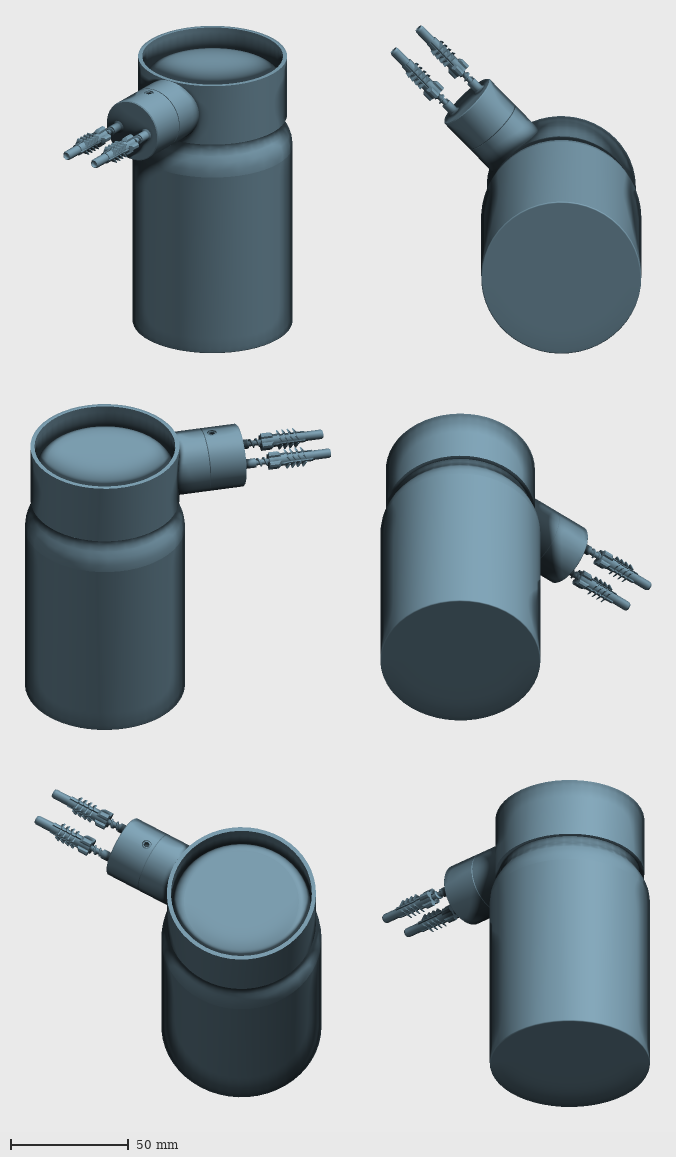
import cadquery as cq
import math

BOTTLE_DIA = 68.0
NECK_DIA = 59.0
BODY_HEIGHT = 81.7
SHOULDER_TURN_DIA = 62.3
SHOULDER_TURN_Z = 90.5
BASE_FILLET = 0.5
TOP_FILLET = 5.1
TOP_RECESS = 7.6

TOTAL_HEIGHT = 123.1
RING_DIA = 63.3
RING_BORE = 59.8
STUB_DIA = 26.9
RING_MARGIN = 0.1
RING_HEIGHT = STUB_DIA + 2 * RING_MARGIN
RING_BOTTOM = TOTAL_HEIGHT - RING_HEIGHT
BOTTLE_TOP = TOTAL_HEIGHT - TOP_RECESS
ARM_Z = TOTAL_HEIGHT - RING_HEIGHT / 2
STUB_END = 42.8

FLANGE_END = 58.8
FLANGE_CHAMFER = 0.4
SET_SCREW_DIA = 4.0
SET_SCREW_LENGTH = 5.2
SET_SCREW_RECESS = 0.3
SET_SCREW_TOP = ARM_Z + STUB_DIA / 2 - SET_SCREW_RECESS
SET_SCREW_PLACE = 46.6
SOCKET_WIDTH = 2.4
SOCKET_DEPTH = 2.0
SET_SCREW_CHAMFER = 0.5

OUTER_LENGTH = 130.5
SCREW_SPACING = 14.5
SCREW_PLACES = [-SCREW_SPACING / 2, SCREW_SPACING / 2]
HEAD_DIA = 5.5
HEAD_DEPTH = 3.9
HEAD_CONE = 0.7
SHANK_DIA = 4.0
SHANK_END = 64.0
CORE_DIA = 2.4
THREAD_DIA = 3.9
THREAD_PITCH = 2.6
THREAD_WIDTH = 1.2
THREAD_CREST = 0.4
THREAD_SINK = 0.1
SCREW_POINT = 1.0
SCREW_POINT_DIA = 0.3
SCREW_END = 94.0

PLUG_START = 69.6
WING_END = 74.7
COLLAR_DIA = 5.5
WING_DIA = 8.2
WING_WIDTH = 2.5
WING_COUNT = 4
WING_END_CHAMFER = 1.3
WING_ROOF_CHAMFER = 0.7
SLEEVE_START = 77.3
SLEEVE_DIA = 4.8
SLEEVE_END = 88.7
TIP_DIA = 4.0
TIP_CHAMFER = 0.4
TIP_CHAMFER_LENGTH = 0.8
PLUG_BORE = 3.0
PLUG_END = OUTER_LENGTH - BOTTLE_DIA / 2
SLOT_WIDTH = 0.7
BARB_COUNT = 4
BARB_PITCH = 2.4
BARB_SPAN = 6.0
BARB_ROOT = 0.9
BARB_RUN = 1.5
BARB_THICKNESS = 0.5


def rod(dia, start, end, x=0.0):
    """Cylinder along -Y on the arm axis, between two distances from the bottle axis."""
    plane = cq.Plane(origin=(x, -start, ARM_Z), xDir=(1, 0, 0), normal=(0, -1, 0))
    return cq.Workplane(plane).circle(dia / 2).extrude(end - start)


def block(width, height, start, end):
    """Box centred on the arm axis, between two distances from the bottle axis."""
    return cq.Workplane("XY").box(width, end - start, height).translate((0, -(start + end) / 2, ARM_Z))


def make_bottle():
    shoulder_rise = SHOULDER_TURN_Z - BODY_HEIGHT
    shoulder_run = (BOTTLE_DIA - SHOULDER_TURN_DIA) / 2
    turn_angle = 2 * math.atan2(shoulder_run, shoulder_rise)
    turn_tangent = (-math.sin(turn_angle), math.cos(turn_angle))
    return (
        cq.Workplane("XZ")
        .lineTo(BOTTLE_DIA / 2, 0)
        .lineTo(BOTTLE_DIA / 2, BODY_HEIGHT)
        .tangentArcPoint((SHOULDER_TURN_DIA / 2, SHOULDER_TURN_Z), relative=False)
        .spline(
            [(NECK_DIA / 2, RING_BOTTOM)],
            tangents=[turn_tangent, (0, 1)],
            includeCurrent=True,
        )
        .lineTo(NECK_DIA / 2, BOTTLE_TOP)
        .lineTo(0, BOTTLE_TOP)
        .close()
        .revolve(360, (0, 0, 0), (0, 1, 0))
        .faces("<Z").edges().fillet(BASE_FILLET)
        .faces(">Z").edges().fillet(TOP_FILLET)
    )


def make_ring():
    ring = cq.Workplane("XY").workplane(offset=RING_BOTTOM).circle(RING_DIA / 2).extrude(RING_HEIGHT)
    bore = cq.Workplane("XY").workplane(offset=RING_BOTTOM).circle(RING_BORE / 2).extrude(RING_HEIGHT)
    return ring.union(rod(STUB_DIA, 0, STUB_END)).cut(bore)


def set_screw_rod(top, length):
    return (
        cq.Workplane("XY", origin=(0, -SET_SCREW_PLACE, top))
        .circle(SET_SCREW_DIA / 2)
        .extrude(-length)
    )


def make_set_screw():
    socket_corner_dia = SOCKET_WIDTH / math.cos(math.pi / 6)
    return (
        set_screw_rod(SET_SCREW_TOP, SET_SCREW_LENGTH)
        .edges(">Z").chamfer(SET_SCREW_CHAMFER)
        .faces(">Z").workplane(origin=(0, -SET_SCREW_PLACE, SET_SCREW_TOP))
        .polygon(6, socket_corner_dia)
        .cutBlind(-SOCKET_DEPTH)
    )


def make_flange():
    set_screw_hole = set_screw_rod(TOTAL_HEIGHT, SET_SCREW_LENGTH + TOTAL_HEIGHT - SET_SCREW_TOP)
    flange = rod(STUB_DIA, STUB_END, FLANGE_END).edges().chamfer(FLANGE_CHAMFER)
    flange = flange.cut(set_screw_hole)
    for x in SCREW_PLACES:
        flange = flange.cut(rod(HEAD_DIA, FLANGE_END - HEAD_DEPTH, FLANGE_END, x))
    return flange


def make_thread():
    """Helical ridge on the screw core, between the shank and the plug."""
    start = SHANK_END + THREAD_WIDTH / 2
    length = PLUG_START - THREAD_WIDTH / 2 - start
    root_radius = CORE_DIA / 2 - THREAD_SINK
    helix = cq.Wire.makeHelix(THREAD_PITCH, length, CORE_DIA / 2)
    ridge = (
        cq.Workplane("XZ")
        .moveTo(root_radius, -THREAD_WIDTH / 2)
        .lineTo(THREAD_DIA / 2, -THREAD_CREST / 2)
        .lineTo(THREAD_DIA / 2, THREAD_CREST / 2)
        .lineTo(root_radius, THREAD_WIDTH / 2)
        .close()
        .sweep(cq.Workplane(helix), isFrenet=True)
    )
    return ridge.rotate((0, 0, 0), (1, 0, 0), 90).translate((0, -start, ARM_Z))


def make_screw():
    head = rod(HEAD_DIA, FLANGE_END - HEAD_DEPTH, FLANGE_END + HEAD_CONE)
    head = head.faces("<Y").chamfer(HEAD_CONE, (HEAD_DIA - SHANK_DIA) / 2)
    core = rod(CORE_DIA, SHANK_END, SCREW_END)
    core = core.faces("<Y").chamfer(SCREW_POINT, (CORE_DIA - SCREW_POINT_DIA) / 2)
    return (
        head.union(rod(SHANK_DIA, FLANGE_END, SHANK_END))
        .union(core)
        .union(make_thread())
    )


def make_barb(root):
    """Upper barb plate, leaning back from its root towards the flange."""
    rise = BARB_SPAN / 2 - BARB_ROOT
    return (
        cq.Workplane("YZ", origin=(-BARB_SPAN / 2, -root, ARM_Z + BARB_ROOT))
        .lineTo(BARB_RUN, rise)
        .lineTo(BARB_RUN - BARB_THICKNESS, rise)
        .lineTo(-BARB_THICKNESS, 0)
        .close()
        .extrude(BARB_SPAN)
    )


def make_plug():
    plug = (
        rod(TIP_DIA, PLUG_START, PLUG_END).faces("<Y").chamfer(TIP_CHAMFER_LENGTH, TIP_CHAMFER)
        .union(rod(COLLAR_DIA, PLUG_START, SLEEVE_START))
        .union(rod(SLEEVE_DIA, SLEEVE_START, SLEEVE_END))
    )
    axis_start, axis_end = (0, 0, ARM_Z), (0, 1, ARM_Z)
    wing = block(WING_WIDTH, WING_DIA / 2, PLUG_START, WING_END).translate((0, 0, WING_DIA / 4))
    wing = wing.faces(">Z").edges("|Y").chamfer(WING_ROOF_CHAMFER)
    wing = wing.faces("<Y").edges(">Z").chamfer(WING_END_CHAMFER)
    for i in range(WING_COUNT):
        plug = plug.union(wing.rotate(axis_start, axis_end, i * 360 / WING_COUNT))
    first_root = SLEEVE_START + BARB_RUN - BARB_THICKNESS
    for i in range(BARB_COUNT):
        barb = make_barb(first_root + i * BARB_PITCH)
        plug = plug.union(barb).union(barb.rotate(axis_start, axis_end, 180))
    plug = plug.cut(block(BARB_SPAN, SLOT_WIDTH, WING_END, SLEEVE_END))
    plug = plug.cut(block(SLOT_WIDTH, BARB_SPAN, WING_END, SLEEVE_END))
    return plug.cut(rod(PLUG_BORE, PLUG_START, PLUG_END))


bottle = make_bottle()
ring = make_ring()
flange = make_flange()
set_screw = make_set_screw()
screw = make_screw()
plug = make_plug()
screws = [screw.translate((x, 0, 0)) for x in SCREW_PLACES]
plugs = [plug.translate((x, 0, 0)) for x in SCREW_PLACES]

result = cq.Compound.makeCompound(
    [body.solids().val() for body in [bottle, ring, flange, set_screw, *screws, *plugs]]
)